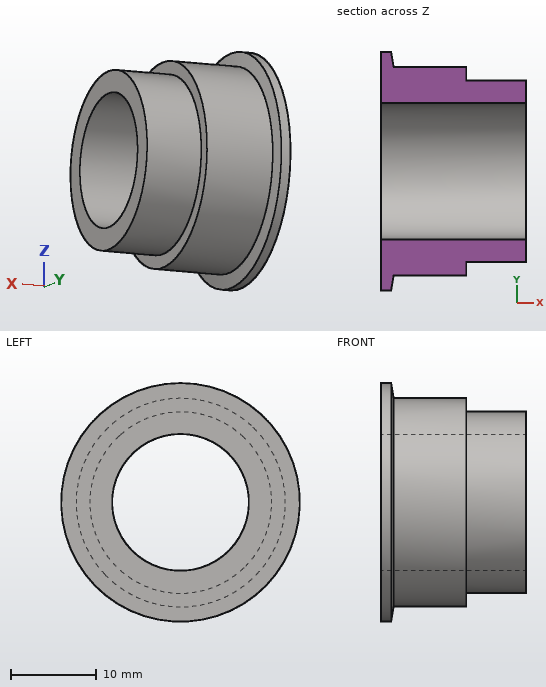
import cadquery as cq

total_length = 17.0
bore_diameter = 16.0

flange_diameter = 28.0
flange_rim_width = 1.2
flange_root_x = 1.5

body_diameter = 24.5
body_end_x = 10.0

spigot_diameter = 21.3

bore_radius = bore_diameter / 2
flange_radius = flange_diameter / 2
body_radius = body_diameter / 2
spigot_radius = spigot_diameter / 2


def bushing():
    """Half section (X along the axis, Z as radius) revolved about X."""
    section = (
        cq.Workplane("XZ")
        .moveTo(0, bore_radius)
        .lineTo(0, flange_radius)
        .lineTo(flange_rim_width, flange_radius)
        .lineTo(flange_root_x, body_radius)
        .lineTo(body_end_x, body_radius)
        .lineTo(body_end_x, spigot_radius)
        .lineTo(total_length, spigot_radius)
        .lineTo(total_length, bore_radius)
        .close()
    )
    return section.revolve(360, (0, 0, 0), (1, 0, 0))


result = bushing()